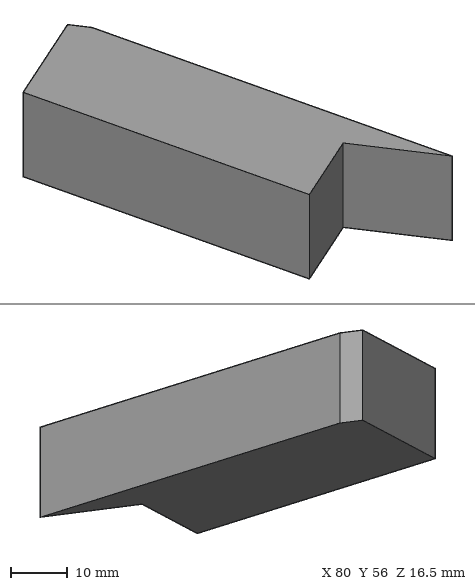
import cadquery as cq

length = 80.0
width = 56.0
thickness = 16.5

left_side = 29.0
corner_flat = 4.5
notch_length = 20.0
notch_width = 22.1

shoulder_x = length - notch_length

outline = [
    (0, width - left_side),
    (shoulder_x, 0),
    (shoulder_x, notch_width),
    (length, notch_width),
    (corner_flat, width),
    (0, width),
]

result = cq.Workplane("XY").polyline(outline).close().extrude(thickness)